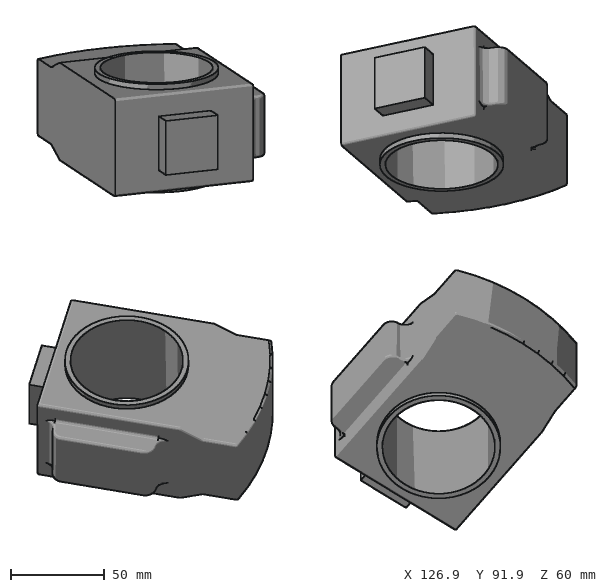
import cadquery as cq
import math

total_length = 126.9

block_width = 80.0
block_height = 54.0
nose_height = 42.6
block_right = 40.0
nose_radius = 120.0
slope_start_x = -50.7
slope_end_x = -38.6
edge_radius = 1.5

sleeve_diameter = 66.0
bore_diameter = 60.0
sleeve_length = 60.0

tab_length = 10.0
tab_side = 30.0

lug_center_x = 1.6
lug_width = 56.6
lug_depth = 11.9
lug_height = 34.3
lug_radius = lug_depth / 2

half_width = block_width / 2
nose_bulge = nose_radius - math.sqrt(nose_radius**2 - half_width**2)
nose_tip_x = block_right + tab_length - total_length
nose_corner_x = nose_tip_x + nose_bulge


def make_block():
    """Stepped side profile trimmed by a cylindrical nose, rounded except around the -Y face."""
    half_nose = nose_height / 2
    half_block = block_height / 2
    profile = (
        cq.Workplane("XZ")
        .polyline([
            (nose_tip_x, -half_nose),
            (slope_start_x, -half_nose),
            (slope_end_x, -half_block),
            (block_right, -half_block),
            (block_right, half_block),
            (slope_end_x, half_block),
            (slope_start_x, half_nose),
            (nose_tip_x, half_nose),
        ])
        .close()
        .extrude(half_width, both=True)
    )
    plan = (
        cq.Workplane("XY")
        .moveTo(block_right, -half_width)
        .lineTo(block_right, half_width)
        .lineTo(nose_corner_x, half_width)
        .threePointArc((nose_tip_x, 0), (nose_corner_x, -half_width))
        .close()
        .extrude(half_block, both=True)
    )
    block = profile.intersect(plan)
    slope_bends = cq.selectors.BoxSelector(
        (slope_start_x - edge_radius, -half_width, -block_height),
        (slope_end_x + edge_radius, half_width, block_height),
    )
    block = block.edges("|Y").edges(slope_bends).fillet(edge_radius)
    sharp_edges = block.faces(">Y or >X").edges("not(<Y)")
    nose_edges = block.faces("<X").edges("not(<Y)")
    return block.newObject(sharp_edges.vals()).add(nose_edges).fillet(edge_radius)


def make_lug():
    """Lug with rounded outer corners, flared foot and softened rim."""
    half_lug = lug_width / 2
    top_y = half_width + lug_depth
    middle_y = half_width + lug_radius
    foot = half_lug + lug_radius
    flat = half_lug - lug_radius
    root_y = half_width - edge_radius
    lug = (
        cq.Workplane("XY")
        .center(lug_center_x, 0)
        .moveTo(-foot, root_y)
        .lineTo(-foot, half_width)
        .radiusArc((-half_lug, middle_y), -lug_radius)
        .radiusArc((-flat, top_y), lug_radius)
        .lineTo(flat, top_y)
        .radiusArc((half_lug, middle_y), lug_radius)
        .radiusArc((foot, half_width), -lug_radius)
        .lineTo(foot, root_y)
        .close()
        .extrude(lug_height / 2, both=True)
    )
    rim = lug.faces("|Z").edges(cq.selectors.BoxSelector(
        (-block_width, half_width + edge_radius, -block_height),
        (block_width, top_y + edge_radius, block_height),
    ))
    return lug.newObject(rim.vals()).fillet(edge_radius)


def make_root_blends():
    """Concave blends joining the two Z faces of the lug to the +Y face of the block."""
    lug_top = lug_height / 2
    root_y = half_width - edge_radius
    inner_z = lug_top - edge_radius
    upper = (
        cq.Workplane("YZ", origin=(lug_center_x, 0, 0))
        .moveTo(root_y, inner_z)
        .lineTo(half_width + edge_radius, inner_z)
        .lineTo(half_width + edge_radius, lug_top)
        .radiusArc((half_width, lug_top + edge_radius), edge_radius)
        .lineTo(root_y, lug_top + edge_radius)
        .close()
        .extrude(lug_width / 2, both=True)
    )
    return upper.union(upper.mirror("XY"))


def make_tab():
    start_x = block_right - edge_radius
    length = tab_length + edge_radius
    return cq.Workplane("XY").box(length, tab_side, tab_side).translate((start_x + length / 2, 0, 0))


sleeve = cq.Workplane("XY").circle(sleeve_diameter / 2).extrude(sleeve_length / 2, both=True)
bore = cq.Workplane("XY").circle(bore_diameter / 2).extrude(sleeve_length / 2, both=True)

result = make_block().union(make_lug()).union(make_root_blends()).union(make_tab())
result = result.union(sleeve).cut(bore)